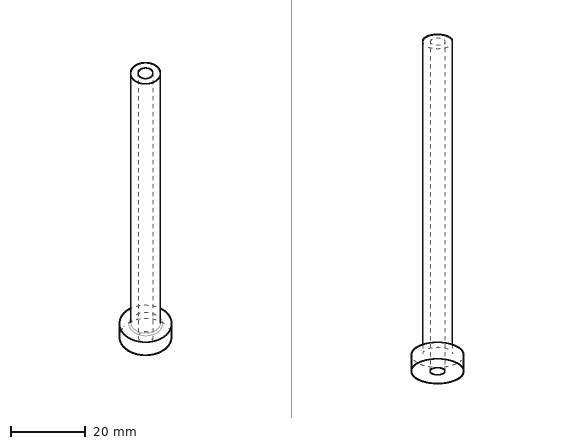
import cadquery as cq

total_length = 100.0
head_diameter = 14.0
head_height = 5.0
shank_diameter = 8.0
bore_diameter = 4.0
neck_fillet = 0.5

head_radius = head_diameter / 2
shank_radius = shank_diameter / 2
bore_radius = bore_diameter / 2

half_section = (
    cq.Workplane("XZ")
    .moveTo(bore_radius, 0)
    .lineTo(head_radius, 0)
    .lineTo(head_radius, head_height)
    .lineTo(shank_radius + neck_fillet, head_height)
    .radiusArc((shank_radius, head_height + neck_fillet), neck_fillet)
    .lineTo(shank_radius, total_length)
    .lineTo(bore_radius, total_length)
    .close()
)

result = half_section.revolve(360, (0, 0, 0), (0, 1, 0))